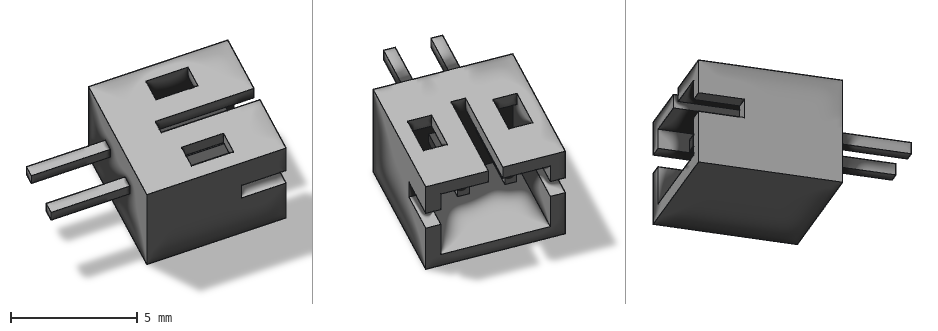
import cadquery as cq

WIDTH = 5.9
HEIGHT = 4.5
OVERALL_LENGTH = 9.4
HOUSING_LENGTH = 6.0
TOP_WALL = 0.6
BASE_WALL = 0.6
SIDE_WALL = 0.64

PIN_SIZE = 0.5
PIN_PITCH = 2.0
PIN_TOP_DROP = 1.45
PIN_TAIL = OVERALL_LENGTH - HOUSING_LENGTH
PIN_TIP_SETBACK = 0.96

CAVITY_DEPTH = 4.25
KEY_SLOT_WIDTH = 0.61
SIDE_SLOT_DEPTH = 1.92
SIDE_SLOT_HEIGHT = 0.81
WINDOW_WIDTH = 1.015
WINDOW_LENGTH = 1.805
WINDOW_SETBACK = 1.99


def block(width, y_start, y_end, z_bottom, z_top, x_center=0):
    """Box centred on x_center, between the given Y and Z limits."""
    return cq.Workplane("XY").box(
        width, y_end - y_start, z_top - z_bottom, centered=(True, False, False)
    ).translate((x_center, y_start, z_bottom))


housing = block(WIDTH, 0, HOUSING_LENGTH, 0, HEIGHT)

cavity_back = HOUSING_LENGTH - CAVITY_DEPTH
cavity_top = HEIGHT - TOP_WALL
housing = housing.cut(block(WIDTH - 2 * SIDE_WALL, cavity_back, HOUSING_LENGTH, BASE_WALL, cavity_top))

housing = housing.cut(block(KEY_SLOT_WIDTH, cavity_back, HOUSING_LENGTH, cavity_top, HEIGHT))

pin_top = HEIGHT - PIN_TOP_DROP
side_slot_back = HOUSING_LENGTH - SIDE_SLOT_DEPTH
housing = housing.cut(
    block(WIDTH, side_slot_back, HOUSING_LENGTH, pin_top - SIDE_SLOT_HEIGHT, pin_top)
)

window_front = HOUSING_LENGTH - WINDOW_SETBACK
window_back = window_front - WINDOW_LENGTH
window_x = WIDTH / 2 - SIDE_WALL - WINDOW_WIDTH / 2
for side in (-1, 1):
    housing = housing.cut(
        block(WINDOW_WIDTH, window_back, window_front, cavity_top, HEIGHT, side * window_x)
    )

pin_tip = HOUSING_LENGTH - PIN_TIP_SETBACK
for side in (-1, 1):
    housing = housing.union(
        block(PIN_SIZE, -PIN_TAIL, pin_tip, pin_top - PIN_SIZE, pin_top, side * PIN_PITCH / 2)
    )

result = housing